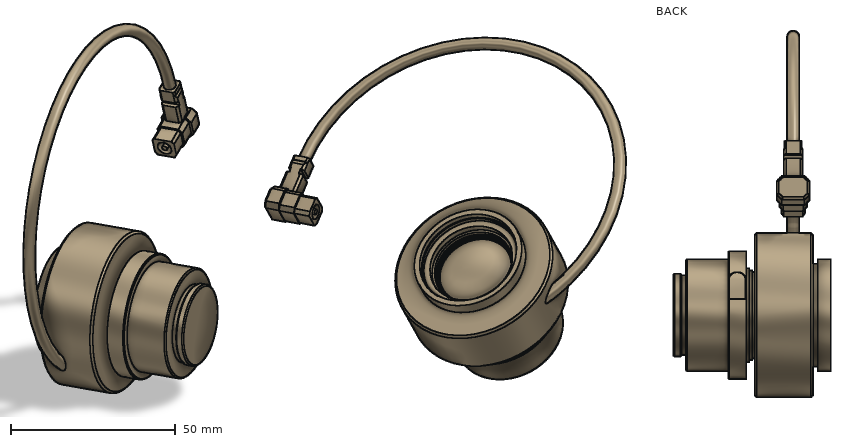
import cadquery as cq
import math


mount_radius = 17.1
mount_end = 4.1
front_neck_radius = 15.7
front_neck_end = 5.5
body_radius = 25.0
body_end = 23.2
body_chamfer = 0.7
thread_relief_radius = 13.2
thread_relief_end = 23.9
inner_thread_radius = 13.6
inner_thread_end = 24.8
shoulder_radius = 14.3
shoulder_end = 25.7
ring_radius = 19.5
ring_end = 31.3
ring_chamfer = 0.3
barrel_end = 44.1
barrel_chamfer = 0.5
rear_thread_radius = 12.6
rear_neck_radius = 12.2
rear_neck_end = 45.4
lens_length = 48.0
rear_chamfer = rear_thread_radius - rear_neck_radius

front_bores = [(15.4, 1.9), (15.0, 3.3), (13.1, 5.5), (12.3, 6.7), (11.9, 7.2), (11.6, 7.6)]
glass_radius = 11.4
glass_edge_depth = 8.2
glass_apex_depth = 5.3

recess_angle = 28.5
recess_width = 4.9
recess_half_length = 4.7
recess_depth = 0.2

cable_x = 11.5
cable_diameter = 3.8
loop_radius = 52.1
loop_center_y = 7.3
loop_center_z = 32.5
cable_start_angle = -62
cable_end_angle = 158

collar_size = 5.3
collar_length = 4.3
shank_size = 5.8
shank_start = 5.9
shank_chamfer = 0.8
latch_neck_width = 3.2
groove_start = 1.5
groove_end = 2.7
groove_depth = 0.6
collar_top_inset = 0.2

head_sections = [
    (5.0, 12.0, 19.9, -4.5, 0.6, 1.6),
    (4.2, 12.4, 19.8, 0.6, 5.6, 1.1),
    (3.6, 13.0, 19.6, 5.6, 10.7, 0.8),
]
head_side_top = 13.8
head_side_bottom = 18.3
head_back_chamfer = 0.7
socket_diameter = 4.5
socket_depth = 3.4
pin_diameter = 1.7


def cylinder(radius, start, end):
    return cq.Workplane("YZ").workplane(offset=start).circle(radius).extrude(end - start)


def make_lens():
    ring = cylinder(ring_radius, shoulder_end, ring_end).faces(">X").chamfer(ring_chamfer)
    ring = ring.cut(make_ring_recess())
    lens = cylinder(mount_radius, 0, mount_end)
    lens = lens.union(cylinder(front_neck_radius, mount_end, front_neck_end))
    lens = lens.union(cylinder(body_radius, front_neck_end, body_end).edges().chamfer(body_chamfer))
    lens = lens.union(cylinder(thread_relief_radius, body_end, thread_relief_end))
    lens = lens.union(cylinder(inner_thread_radius, thread_relief_end, inner_thread_end))
    lens = lens.union(cylinder(shoulder_radius, inner_thread_end, shoulder_end))
    lens = lens.union(ring)
    lens = lens.union(cylinder(mount_radius, ring_end, barrel_end).faces(">X").chamfer(barrel_chamfer))
    lens = lens.union(cylinder(rear_neck_radius, barrel_end, rear_neck_end))
    rear_thread = cylinder(rear_thread_radius, rear_neck_end, lens_length)
    lens = lens.union(rear_thread.edges().chamfer(rear_chamfer))
    return lens.cut(make_front_opening())


def make_ring_recess():
    """Cutter for a recess that follows the rim, rounded at its upper end and square at its lower end."""
    angle = math.radians(recess_angle)
    outward = (0, math.cos(angle), math.sin(angle))
    middle_x = (shoulder_end + ring_end) / 2
    plane = cq.Plane(origin=(middle_x, 0, 0), xDir=(1, 0, 0), normal=outward)
    half_width = recess_width / 2
    upper_arc_start = recess_half_length - half_width
    outline = (
        cq.Workplane(plane)
        .moveTo(-half_width, recess_half_length)
        .lineTo(half_width, recess_half_length)
        .lineTo(half_width, -upper_arc_start)
        .threePointArc((0, -recess_half_length), (-half_width, -upper_arc_start))
        .close()
    )
    floor = cylinder(ring_radius - recess_depth, shoulder_end, ring_end)
    return outline.extrude(ring_radius).cut(floor)


def make_front_opening():
    """Stepped bore that narrows to a convex glass surface."""
    profile = [(0, 0)]
    start = 0
    for radius, depth in front_bores:
        profile += [(start, radius), (depth, radius)]
        start = depth
    profile += [(start, glass_radius), (glass_edge_depth, glass_radius), (glass_edge_depth, 0)]
    opening = cq.Workplane("XY").polyline(profile).close().revolve(360, (0, 0, 0), (1, 0, 0))
    glass = (
        cq.Workplane("XY")
        .moveTo(glass_edge_depth, 0)
        .lineTo(glass_edge_depth, glass_radius)
        .radiusArc((glass_apex_depth, 0), -glass_sphere_radius())
        .close()
        .revolve(360, (0, 0, 0), (1, 0, 0))
    )
    return opening.cut(glass)


def glass_sphere_radius():
    rise = glass_edge_depth - glass_apex_depth
    return (glass_radius**2 + rise**2) / (2 * rise)


def loop_point(angle_degrees):
    """Point on the cable centreline; the angle turns from -Y towards +Z."""
    angle = math.radians(angle_degrees)
    y = loop_center_y - loop_radius * math.cos(angle)
    z = loop_center_z + loop_radius * math.sin(angle)
    return (cable_x, y, z)


def make_cable():
    middle_angle = (cable_start_angle + cable_end_angle) / 2
    arc = cq.Edge.makeThreePointArc(
        cq.Vector(*loop_point(cable_start_angle)),
        cq.Vector(*loop_point(middle_angle)),
        cq.Vector(*loop_point(cable_end_angle)),
    )
    path = cq.Workplane("XY").newObject([cq.Wire.assembleEdges([arc])])
    start_plane = cq.Plane(origin=arc.startPoint(), xDir=(1, 0, 0), normal=arc.tangentAt(0))
    return cq.Workplane(start_plane).circle(cable_diameter / 2).sweep(path)


def make_collar_groove(side):
    """Cutter for one X face of the collar: an inset rim, then a groove that ramps out to the shank."""
    face = side * shank_size / 2
    rim = face - side * collar_top_inset
    groove_floor = face - side * groove_depth
    outline = [(face, 0), (rim, 0), (rim, groove_start), (groove_floor, groove_start), (face, groove_end)]
    return cq.Workplane("XZ").polyline(outline).close().extrude(collar_size / 2, both=True)


def make_head_section(half_width, top, bottom, back, front, bevel):
    """Eight-sided block along local Y."""
    inner = half_width - bevel
    right_side = [(inner, top), (half_width, head_side_top), (half_width, head_side_bottom), (inner, bottom)]
    left_side = [(-x, z) for x, z in reversed(right_side)]
    outline = cq.Workplane("XZ", origin=(0, back, 0)).polyline(right_side + left_side).close()
    return outline.extrude(back - front)


def make_plug():
    """Plug in local axes: Z runs along the shank from the cable, Y points out of the socket."""
    def shank_block(size_y, start, end):
        return cq.Workplane("XY").workplane(offset=start).rect(shank_size, size_y).extrude(end - start)

    plug = shank_block(collar_size, 0, collar_length).edges("|Z").chamfer(shank_chamfer)
    plug = plug.union(shank_block(latch_neck_width, collar_length, shank_start))
    shank = shank_block(shank_size, shank_start, head_side_top)
    plug = plug.union(shank.edges("|Z").chamfer(shank_chamfer))
    for side in (-1, 1):
        plug = plug.cut(make_collar_groove(side))
    back_section, *other_sections = head_sections
    plug = plug.union(make_head_section(*back_section).faces("<Y").chamfer(head_back_chamfer))
    for section in other_sections:
        plug = plug.union(make_head_section(*section))

    _, mating_top, mating_bottom, _, mating_face, _ = head_sections[-1]
    socket_floor = cq.Plane(
        origin=(0, mating_face - socket_depth, (mating_top + mating_bottom) / 2),
        xDir=(1, 0, 0),
        normal=(0, 1, 0),
    )
    socket = cq.Workplane(socket_floor).circle(socket_diameter / 2).circle(pin_diameter / 2)
    return plug.cut(socket.extrude(socket_depth))


def place_plug(plug):
    angle = math.radians(cable_end_angle)
    shank_direction = (0, math.sin(angle), math.cos(angle))
    plane = cq.Plane(origin=loop_point(cable_end_angle), xDir=(1, 0, 0), normal=shank_direction)
    return cq.Workplane(obj=plug.val().moved(plane.location))


result = make_lens().union(make_cable()).union(place_plug(make_plug()))